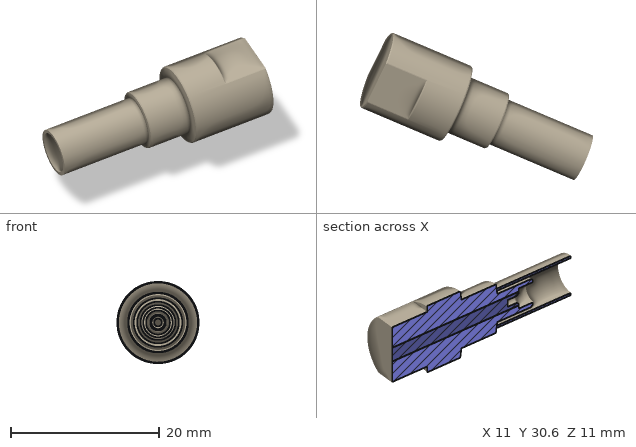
import cadquery as cq
import math

total_length = 30.58

head_radius = 5.49
head_front_y = 19.0
neck_radius = 4.05
neck_front_y = 12.9
shoulder_angle = 8.0
edge_break_radial = 0.1
edge_break_axial = 0.15

stub_radius = 2.35
stub_tip_radius = 2.0
stub_end_y = 6.42
stub_nose_length = stub_radius - stub_tip_radius
bore_radius = 1.62
bore_depth = 2.45
bore_floor_y = stub_end_y + bore_depth

flat_height = 4.53
flat_length = 6.0
wall_edge_break = 0.12
side_edge_break = 0.05
flat_start_y = total_length - flat_length

sleeve_outer_radius = 3.27
sleeve_inner_radius = 2.8

pin_radius = 1.07
cup_mouth_radius = 0.9
cup_radius = 0.52
cup_depth = 1.85
cup_countersink_depth = cup_mouth_radius - cup_radius


def cone_rise(outer_radius, inner_radius):
    """Axial advance of a slightly conical shoulder between two radii."""
    return (outer_radius - inner_radius) * math.tan(math.radians(shoulder_angle))


def revolve_profile(points):
    """Turn a closed (radius, y) profile about the Y axis."""
    return cq.Workplane("XY").polyline(points).close().revolve(360, (0, 0, 0), (0, 1, 0))


def neck_cone_y(radius):
    """Y position of the front shoulder of the neck at a given radius."""
    cone_start_radius = neck_radius - edge_break_radial
    return neck_front_y - edge_break_axial - cone_rise(cone_start_radius, radius)


def make_flat_cutter(side):
    """Block that cuts one wrench flat; side is +1 for +Z and -1 for -Z."""
    overcut = 0.3
    depth = head_radius - flat_height + overcut
    return (
        cq.Workplane("XY")
        .box(2 * head_radius, flat_length, depth, centered=(True, False, True))
        .translate((0, flat_start_y, side * (flat_height + depth / 2)))
    )


def make_housing():
    head_cone_radius = head_radius - edge_break_radial
    head_cone_y = head_front_y - edge_break_axial
    neck_cone_radius = neck_radius - edge_break_radial
    body = revolve_profile([
        (pin_radius, total_length),
        (head_radius - edge_break_radial, total_length),
        (head_radius, total_length - edge_break_axial),
        (head_radius, head_front_y),
        (head_cone_radius, head_cone_y),
        (neck_radius, head_cone_y - cone_rise(head_cone_radius, neck_radius)),
        (neck_radius, neck_front_y),
        (neck_cone_radius, neck_cone_y(neck_cone_radius)),
        (stub_radius, neck_cone_y(stub_radius)),
        (stub_radius, stub_end_y + stub_nose_length),
        (stub_tip_radius, stub_end_y),
        (bore_radius, stub_end_y),
        (bore_radius, bore_floor_y),
        (pin_radius, bore_floor_y),
    ])
    for side in (1, -1):
        body = body.cut(make_flat_cutter(side))
    margin = 0.03
    wall_zone = cq.selectors.BoxSelector(
        (-head_radius, flat_start_y - margin, -2 * head_radius),
        (head_radius, flat_start_y + margin, 2 * head_radius),
    )
    body = body.edges(wall_zone).edges("%CIRCLE").chamfer(wall_edge_break)
    side_zone = cq.selectors.BoxSelector(
        (-head_radius, flat_start_y + margin, -flat_height - margin),
        (head_radius, total_length, flat_height + margin),
    )
    return body.edges(side_zone).edges("|Y").edges(">Z or <Z").chamfer(side_edge_break)


def make_sleeve():
    """Tube whose rear end is seated against the conical neck shoulder."""
    return revolve_profile([
        (sleeve_inner_radius, 0),
        (sleeve_outer_radius, 0),
        (sleeve_outer_radius, neck_cone_y(sleeve_outer_radius)),
        (sleeve_inner_radius, neck_cone_y(sleeve_inner_radius)),
    ])


def make_pin():
    return revolve_profile([
        (0, total_length),
        (pin_radius, total_length),
        (pin_radius, bore_floor_y),
        (cup_mouth_radius, bore_floor_y),
        (cup_radius, bore_floor_y + cup_countersink_depth),
        (cup_radius, bore_floor_y + cup_depth),
        (0, bore_floor_y + cup_depth),
    ])


housing = make_housing()
sleeve = make_sleeve()
pin = make_pin()

result = cq.Compound.makeCompound([housing.val(), sleeve.val(), pin.val()])